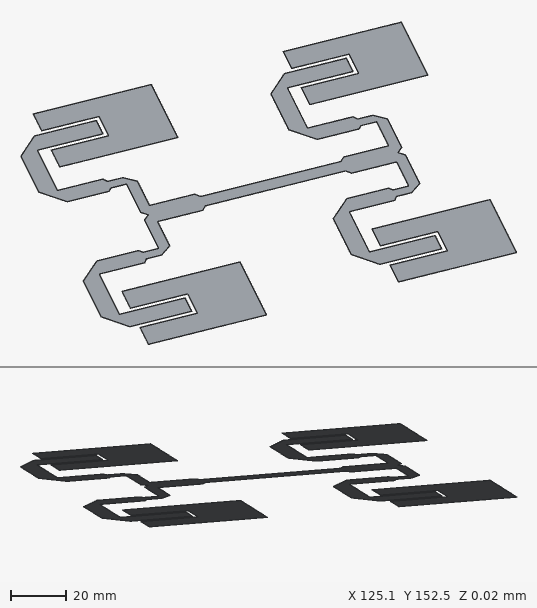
import cadquery as cq

overall_x = 125.1
overall_y = 152.5
foil_thickness = 0.02
row_pitch = 95.8

patch_width = 28.8
patch_length = 45.3
slot_depth = 22.0
feed_gap = 1.5

inset_line_width = 7.3
loop_line_width = 6.7
loop_inner_x = 16.0
outer_miter_x = 8.2
loop_miter = 8.1
branch_leg_width = 3.7
branch_leg_x = 19.2
branch_width = 4.3
branch_drop = 21.2
branch_miter_x = 3.5
branch_miter_y = 4.5
loop_top_drop = 32.6
shoulder_height = 1.2

trunk_end_width = 8.8
trunk_width = 5.2
trunk_end_length = 17.2
trunk_taper_length = 1.7
notch_width = 4.1
notch_depth = 2.1

patch_x = (overall_x - patch_width) / 2
slot_width = inset_line_width + 2 * feed_gap
loop_depth = overall_y - row_pitch
row_tops = [overall_y / 2, overall_y / 2 - row_pitch]
branch_tops = [row_top - branch_drop for row_top in row_tops]


def plate(points):
    """Foil with the given closed outline."""
    return cq.Workplane("XY").polyline(points).close().extrude(foil_thickness)


def make_patch(center_x, top_y):
    """Rectangular patch with a slot open to -Y."""
    bottom_y = top_y - patch_length
    patch = cq.Workplane("XY").box(patch_width, patch_length, foil_thickness, centered=(True, False, False))
    slot = cq.Workplane("XY").box(slot_width, slot_depth, foil_thickness, centered=(True, False, False))
    return patch.cut(slot).translate((center_x, bottom_y, 0))


def make_arm(top_y):
    """Right-hand feed line, from the trunk axis round the loop and up into the patch slot."""
    branch_top = top_y - branch_drop
    branch_bottom = branch_top - branch_width
    leg_left = branch_leg_x - branch_leg_width / 2
    leg_right = branch_leg_x + branch_leg_width / 2
    loop_top = top_y - loop_top_drop
    loop_bottom = top_y - loop_depth
    loop_floor = loop_bottom + loop_line_width
    loop_leg_right = loop_inner_x + loop_line_width
    inset_left = patch_x - inset_line_width / 2
    inset_right = patch_x + inset_line_width / 2
    inset_top = top_y - patch_length + slot_depth - feed_gap
    return plate([
        (0, branch_top),
        (leg_right - branch_miter_x, branch_top),
        (leg_right, branch_top - branch_miter_y),
        (leg_right, loop_top + shoulder_height),
        (loop_leg_right, loop_top),
        (loop_leg_right, loop_floor),
        (inset_left, loop_floor),
        (inset_left, inset_top),
        (inset_right, inset_top),
        (inset_right, loop_bottom + loop_miter),
        (inset_right - outer_miter_x, loop_bottom),
        (loop_inner_x + loop_miter, loop_bottom),
        (loop_inner_x, loop_bottom + loop_miter),
        (loop_inner_x, loop_top),
        (leg_left, loop_top + shoulder_height),
        (leg_left, branch_bottom),
        (0, branch_bottom),
    ])


def make_trunk():
    """Stepped line along Y that joins the outer edges of the two branches."""
    top = branch_tops[0]
    bottom = branch_tops[1] - branch_width
    upper_step = top - branch_width - trunk_end_length
    lower_step = bottom + branch_width + trunk_end_length
    right_side = [
        (trunk_end_width / 2, bottom),
        (trunk_end_width / 2, lower_step),
        (trunk_width / 2, lower_step + trunk_taper_length),
        (trunk_width / 2, upper_step - trunk_taper_length),
        (trunk_end_width / 2, upper_step),
        (trunk_end_width / 2, top),
    ]
    left_side = [(-x, y) for x, y in reversed(right_side)]
    return plate(right_side + left_side)


def make_notch(edge_y, tip_y):
    """V-shaped cut in the outer edge of a branch, on the trunk axis."""
    return plate([(-notch_width / 2, edge_y), (notch_width / 2, edge_y), (0, tip_y)])


def make_feed_network():
    """Trunk and four arms in one piece, with a notch at each junction."""
    network = make_trunk()
    for top_y in row_tops:
        arm = make_arm(top_y)
        network = network.union(arm).union(arm.mirror("YZ"))
    upper_edge = branch_tops[0]
    lower_edge = branch_tops[1] - branch_width
    network = network.cut(make_notch(upper_edge, upper_edge - notch_depth))
    network = network.cut(make_notch(lower_edge, lower_edge + notch_depth))
    return network.clean()


patches = [make_patch(x, top_y) for x in (-patch_x, patch_x) for top_y in row_tops]
feed_network = make_feed_network()

result = cq.Compound.makeCompound([feed_network.val(), *[patch.val() for patch in patches]])